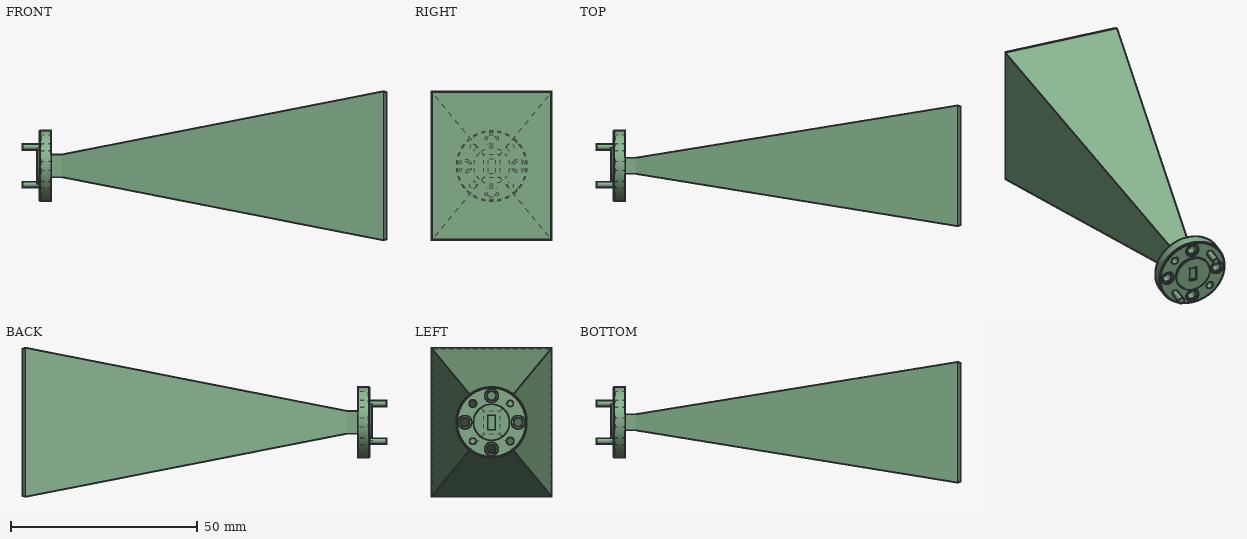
import cadquery as cq
import math

boss_face_x = 3.9
flange_face_x = 4.5
flange_back_x = 7.7
neck_end_x = 10.7
rim_start_x = 97.1
aperture_x = 97.85

flange_diameter = 19.1
flange_chamfer = 0.3
boss_diameter = 9.7
port_width = 2.1
port_height = 3.9
port_depth = 0.8

pitch_radius = 7.1
screw_hole_diameter = 2.4
counterbore_diameter = 3.6
counterbore_depth = 0.5
dowel_hole_diameter = 2.0
pin_diameter = 1.7
screw_angles = [0, 90, 180, 270]
open_dowel_angles = [45, 225]
pin_angles = [135, 315]

neck_width = 4.4
neck_height = 6.2
aperture_width = 32.5
aperture_height = 40.1
rim_inset = 0.3


def plane_at(x):
    """Plane normal to +X, with local axes along Y and Z."""
    return cq.Workplane("YZ", origin=(x, 0, 0))


def disc(diameter, start_x, end_x):
    return plane_at(start_x).circle(diameter / 2).extrude(end_x - start_x)


def block(width, height, start_x, end_x):
    return plane_at(start_x).rect(width, height).extrude(end_x - start_x)


def pitch_point(angle):
    """Y and Z of a hole, with the angle measured from +Y towards +Z."""
    turn = math.radians(angle)
    return (pitch_radius * math.cos(turn), pitch_radius * math.sin(turn))


def cylinders(angles, diameter, start_x, end_x):
    centres = [pitch_point(angle) for angle in angles]
    return plane_at(start_x).pushPoints(centres).circle(diameter / 2).extrude(end_x - start_x)


def make_flange():
    flange = disc(flange_diameter, flange_face_x, flange_back_x).faces("<X").chamfer(flange_chamfer)
    flange = flange.union(disc(boss_diameter, boss_face_x, flange_face_x))
    flange = flange.cut(block(port_width, port_height, boss_face_x, boss_face_x + port_depth))
    flange = flange.cut(cylinders(screw_angles, screw_hole_diameter, flange_face_x, flange_back_x))
    counterbore_floor_x = flange_face_x + counterbore_depth
    flange = flange.cut(cylinders(screw_angles, counterbore_diameter, flange_face_x, counterbore_floor_x))
    flange = flange.cut(cylinders(open_dowel_angles, dowel_hole_diameter, flange_face_x, flange_back_x))
    return flange.cut(cylinders(pin_angles, pin_diameter, flange_face_x, flange_back_x))


def make_horn():
    """Flange, neck, tapered horn and bevelled rim as one body."""
    neck = block(neck_width, neck_height, flange_back_x, neck_end_x)
    taper = (
        plane_at(neck_end_x)
        .rect(neck_width, neck_height)
        .workplane(offset=rim_start_x - neck_end_x)
        .rect(aperture_width, aperture_height)
        .loft(ruled=True)
    )
    rim = (
        plane_at(rim_start_x)
        .rect(aperture_width, aperture_height)
        .workplane(offset=aperture_x - rim_start_x)
        .rect(aperture_width - 2 * rim_inset, aperture_height - 2 * rim_inset)
        .loft(ruled=True)
    )
    return make_flange().union(neck).union(taper).union(rim)


def make_pin(angle):
    """Dowel pin filling its flange hole and standing out towards -X."""
    return cylinders([angle], pin_diameter, 0, flange_back_x)


horn = make_horn()
pins = [make_pin(angle) for angle in pin_angles]

result = cq.Compound.makeCompound([horn.val(), *[pin.val() for pin in pins]])